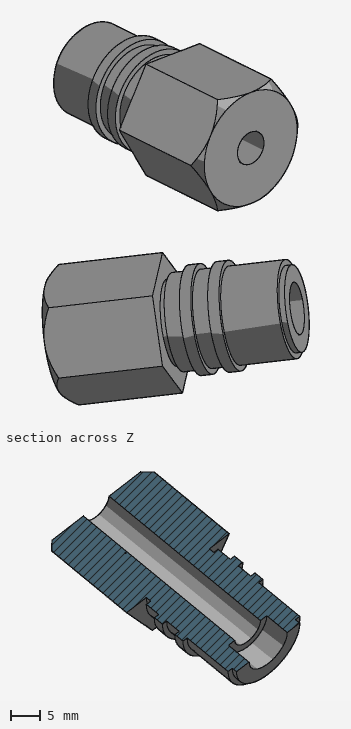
import cadquery as cq
import math

total_length = 42.0
hex_length = 20.0
hex_start = total_length - hex_length
across_flats = 21.0
across_corners = across_flats / math.cos(math.radians(30))

lip_length = 1.0
lip_diameter = 15.0
body_diameter = 17.0
neck_length = lip_length
neck_diameter = lip_diameter
body_end = hex_start - neck_length

ring_diameter = 19.0
ring_width = 2.0
ring_starts = (11.0, 16.0)

bore_diameter = 9.0
bore_depth = 5.0
passage_diameter = 6.0


def cylinder(start, end, diameter):
    """Cylinder along the X axis between two X positions."""
    return cq.Workplane("YZ").workplane(offset=start).circle(diameter / 2).extrude(end - start)


def make_plug():
    """Stepped plug with a front lip, two rings and a neck at the hexagon."""
    plug = cylinder(0, lip_length, lip_diameter)
    plug = plug.union(cylinder(lip_length, body_end, body_diameter))
    for start in ring_starts:
        plug = plug.union(cylinder(start, start + ring_width, ring_diameter))
    return plug.union(cylinder(body_end, hex_start, neck_diameter))


def make_hexagon():
    """Hexagon whose corners are turned off at 45 degrees at the rear end."""
    prism = cq.Workplane("YZ").workplane(offset=hex_start).polygon(6, across_corners).extrude(hex_length)
    corner_chamfer = (across_corners - across_flats) / 2
    turned_blank = cylinder(hex_start, total_length, across_corners).faces(">X").chamfer(corner_chamfer)
    return prism.intersect(turned_blank)


bore = cylinder(0, bore_depth, bore_diameter)
passage = cylinder(0, total_length, passage_diameter)

result = make_plug().union(make_hexagon()).cut(bore).cut(passage)